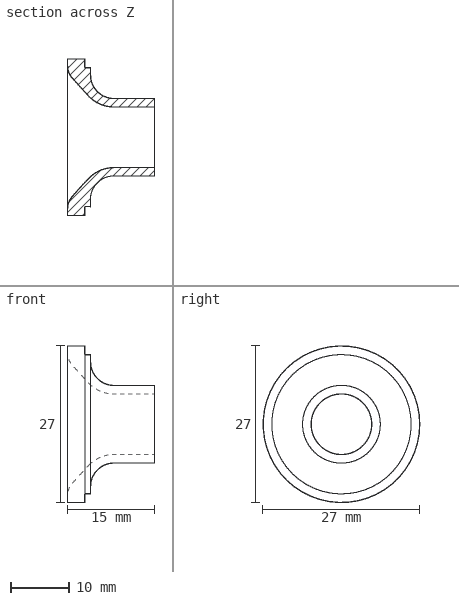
import cadquery as cq
import math

length = 15.0
flange_radius = 27.0 / 2
flange_end = 3.0
step_radius = 24.0 / 2
step_end = 4.0
sleeve_radius = 13.4 / 2
bore_radius = 10.4 / 2

step_fillet = 0.1
neck_fillet = 4.0
mouth_radius = 12.25
lip_round = 3.0
throat_round = 6.0

neck_end = step_end + neck_fillet
throat_end = neck_end

lip_center = (lip_round, mouth_radius)
throat_center = (throat_end, bore_radius + throat_round)

center_dx = throat_center[0] - lip_center[0]
center_dr = lip_center[1] - throat_center[1]
center_distance = math.hypot(center_dx, center_dr)
normal_angle = math.acos((throat_round - lip_round) / center_distance) - math.atan2(center_dr, center_dx)


def point_on_round(center, radius, angle):
    """Point of a round, at an angle from -X towards the axis."""
    return (center[0] - radius * math.cos(angle), center[1] - radius * math.sin(angle))


def add_inside_fillet(profile, face_position, outer_radius, fillet):
    """Run down a face square to the axis and blend into a smaller cylinder of outer_radius."""
    center = (face_position + fillet, outer_radius + fillet)
    middle = point_on_round(center, fillet, math.pi / 4)
    return profile.lineTo(face_position, center[1]).threePointArc(middle, (center[0], outer_radius))


def add_outer_wall(profile):
    """Trace flange, step, concave neck and sleeve, from the front face to the sleeve end."""
    profile = profile.lineTo(0, flange_radius).lineTo(flange_end, flange_radius)
    profile = add_inside_fillet(profile, flange_end, step_radius, step_fillet)
    profile = profile.lineTo(step_end, step_radius)
    profile = add_inside_fillet(profile, step_end, sleeve_radius, neck_fillet)
    return profile.lineTo(length, sleeve_radius)


def add_inner_wall(profile):
    """Trace bore, throat, cone and lip, from the sleeve end back to the front face."""
    throat_middle_angle = (normal_angle + math.pi / 2) / 2
    lip_middle_angle = normal_angle / 2
    return (
        profile.lineTo(length, bore_radius)
        .lineTo(throat_end, bore_radius)
        .threePointArc(
            point_on_round(throat_center, throat_round, throat_middle_angle),
            point_on_round(throat_center, throat_round, normal_angle),
        )
        .lineTo(*point_on_round(lip_center, lip_round, normal_angle))
        .threePointArc(
            point_on_round(lip_center, lip_round, lip_middle_angle),
            (0, mouth_radius),
        )
    )


profile = cq.Workplane("XY").moveTo(0, mouth_radius)
profile = add_outer_wall(profile)
profile = add_inner_wall(profile).close()

result = profile.revolve(360, (0, 0, 0), (1, 0, 0))